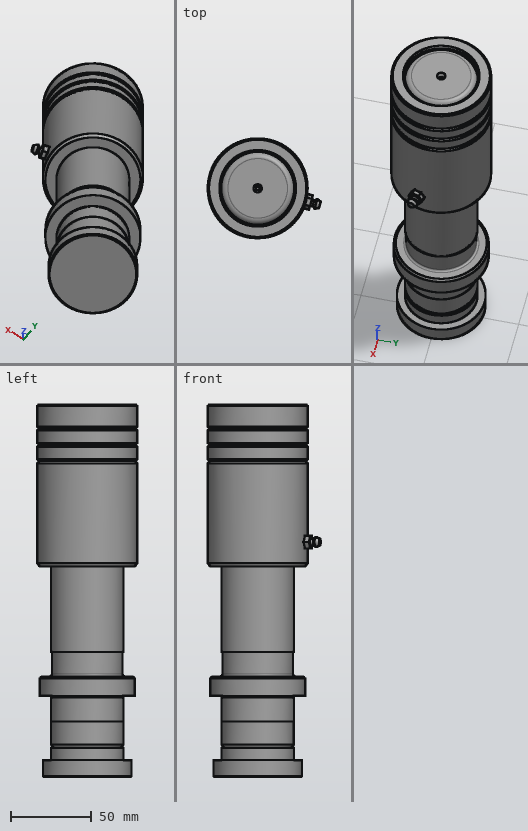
import cadquery as cq
import math

total_height = 230.0

sleeve_radius = 61.9 / 2
sleeve_length = 100.0
sleeve_top_chamfer = 1.0
sleeve_lead_height = 2.3
sleeve_lead_inset = 1.5
bore_chamfer = 1.2
groove_count = 3
groove_pitch = 10.1
groove_width = 2.5
groove_depth = 1.2
first_groove_depth = 14.7
sleeve_bottom = total_height - sleeve_length

pin_radius = 45.0 / 2
pin_top_fillet = 4.1
pin_bottom = 18.0
pin_chamfer_height = 2.0
pin_chamfer_inset = 1.5
neck_radius = 21.8
lead_relief = 0.12
lead_radius = pin_radius - lead_relief
lead_top = 34.3
neck_top = 77.3
collar_radius = 58.9 / 2
collar_bottom = 50.1
collar_top = 62.0
collar_chamfer = 1.4
collar_root_fillet = 1.4
undercut_height = 1.2

centre_mouth_radius = 2.5
centre_drill_radius = 1.2
centre_cone_angle = 60.0
centre_drill_length = 3.5
centre_tip_angle = 120.0

cap_flange_radius = 55.0 / 2
cap_flange_height = 10.4
cap_chamfer = 0.7

nipple_angle = -15.0
nipple_height = 15.2
hex_sides = 6
hex_across_flats = 8.0
hex_seat = 30.0
hex_end = 34.0
neck_base_radius = 2.5
neck_waist_radius = 1.5
neck_waist = 35.6
head_radius = 3.2
head_rim = 37.3
nipple_tip = 39.8
nipple_tip_radius = 2.0


def revolve_about_z(outline):
    """Revolve a closed radius-height outline, drawn in the XZ plane, about the Z axis."""
    return outline.close().revolve(360, (0, 0, 0), (0, 1, 0))


def make_sleeve_body():
    outline = (
        cq.Workplane("XZ")
        .moveTo(pin_radius, sleeve_bottom)
        .lineTo(sleeve_radius - sleeve_lead_inset, sleeve_bottom)
        .lineTo(sleeve_radius, sleeve_bottom + sleeve_lead_height)
        .lineTo(sleeve_radius, total_height - sleeve_top_chamfer)
        .lineTo(sleeve_radius - sleeve_top_chamfer, total_height)
        .lineTo(pin_radius + bore_chamfer, total_height)
        .lineTo(pin_radius, total_height - bore_chamfer)
    )
    return revolve_about_z(outline)


def make_groove(middle):
    """V-shaped ring that cuts one groove into the sleeve's outer side."""
    outline = (
        cq.Workplane("XZ")
        .moveTo(sleeve_radius, middle - groove_width / 2)
        .lineTo(sleeve_radius, middle + groove_width / 2)
        .lineTo(sleeve_radius - groove_depth, middle)
    )
    return revolve_about_z(outline)


def make_sleeve(nipple):
    sleeve = make_sleeve_body()
    for index in range(groove_count):
        middle = total_height - first_groove_depth - index * groove_pitch
        sleeve = sleeve.cut(make_groove(middle))
    return sleeve.cut(nipple)


def make_centre_hole():
    """Conical mouth, drilled length and conical drill tip."""
    cone_depth = (centre_mouth_radius - centre_drill_radius) / math.tan(math.radians(centre_cone_angle / 2))
    tip_depth = centre_drill_radius / math.tan(math.radians(centre_tip_angle / 2))
    cone_bottom = total_height - cone_depth
    drill_bottom = cone_bottom - centre_drill_length
    outline = (
        cq.Workplane("XZ")
        .moveTo(0, total_height)
        .lineTo(centre_mouth_radius, total_height)
        .lineTo(centre_drill_radius, cone_bottom)
        .lineTo(centre_drill_radius, drill_bottom)
        .lineTo(0, drill_bottom - tip_depth)
    )
    return revolve_about_z(outline)


def make_pin():
    fillet_middle = pin_top_fillet * math.sqrt(0.5)
    fillet_centre_radius = pin_radius - pin_top_fillet
    fillet_centre_height = total_height - pin_top_fillet
    outline = (
        cq.Workplane("XZ")
        .moveTo(0, pin_bottom)
        .lineTo(lead_radius - pin_chamfer_inset, pin_bottom)
        .lineTo(lead_radius, pin_bottom + pin_chamfer_height)
        .lineTo(lead_radius, lead_top)
        .lineTo(pin_radius, lead_top)
        .lineTo(pin_radius, collar_bottom - undercut_height)
        .lineTo(neck_radius, collar_bottom - undercut_height)
        .lineTo(neck_radius, collar_bottom)
        .lineTo(collar_radius, collar_bottom)
        .lineTo(collar_radius, collar_top - collar_chamfer)
        .lineTo(collar_radius - collar_chamfer, collar_top)
        .lineTo(neck_radius + collar_root_fillet, collar_top)
        .radiusArc((neck_radius, collar_top + collar_root_fillet), collar_root_fillet)
        .lineTo(neck_radius, neck_top)
        .lineTo(pin_radius, neck_top)
        .lineTo(pin_radius, fillet_centre_height)
        .threePointArc(
            (fillet_centre_radius + fillet_middle, fillet_centre_height + fillet_middle),
            (fillet_centre_radius, total_height),
        )
        .lineTo(0, total_height)
    )
    return revolve_about_z(outline).cut(make_centre_hole())


def make_cap():
    outline = (
        cq.Workplane("XZ")
        .lineTo(cap_flange_radius - cap_chamfer, 0)
        .lineTo(cap_flange_radius, cap_chamfer)
        .lineTo(cap_flange_radius, cap_flange_height)
        .lineTo(pin_radius, cap_flange_height)
        .lineTo(pin_radius, pin_bottom)
        .lineTo(0, pin_bottom)
    )
    return revolve_about_z(outline)


def make_nipple():
    """Built along +X at Z = 0, then lifted and turned into place."""
    across_corners = hex_across_flats / math.cos(math.pi / hex_sides)
    hexagon = (
        cq.Workplane("YZ", origin=(hex_seat, 0, 0))
        .polygon(hex_sides, across_corners)
        .extrude(hex_end - hex_seat)
    )
    head = (
        cq.Workplane("XY")
        .moveTo(hex_seat, 0)
        .lineTo(hex_seat, neck_base_radius)
        .lineTo(hex_end, neck_base_radius)
        .lineTo(neck_waist, neck_waist_radius)
        .lineTo(head_rim, head_radius)
        .lineTo(nipple_tip, nipple_tip_radius)
        .lineTo(nipple_tip, 0)
        .close()
        .revolve(360, (0, 0, 0), (1, 0, 0))
    )
    nipple = hexagon.union(head)
    nipple = nipple.translate((0, 0, sleeve_bottom + nipple_height))
    return nipple.rotate((0, 0, 0), (0, 0, 1), nipple_angle)


nipple = make_nipple()
sleeve = make_sleeve(nipple)
pin = make_pin()
cap = make_cap()

result = cq.Compound.makeCompound([sleeve.val(), pin.val(), cap.val(), nipple.val()])